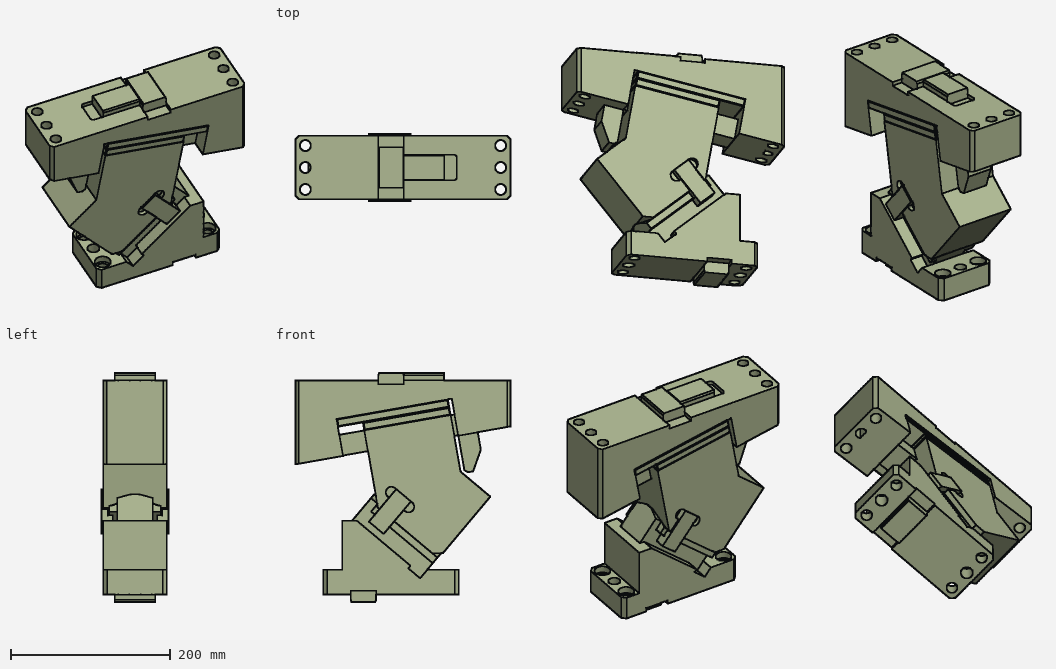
import cadquery as cq
import math

BODY_WIDTH = 80.0
HALF_WIDTH = BODY_WIDTH / 2
HANG_ANGLE = 10.0
GUIDE_ANGLE = 40.0

KEY_LENGTH = 51.0
KEY_WIDTH = 32.0
KEY_STANDOFF = 9.5
KEYWAY_DEPTH = 5.0
KEY_BEVEL_SIDE = 1.0
KEY_BEVEL_HEIGHT = 3.0

HOLE_INSET = 12.5
HOLE_SPACING = 27.5
HOLE_DIAMETER = 13.5

HOLDER_LENGTH = 269.5
HOLDER_CENTRE_X = 15.0
HOLDER_TOP = 268.2
HOLDER_CHAMFER = 4.5
HOLE_LEDGE_OFFSET = 3.7
LONG_KEY_END = 66.5
LONG_KEYWAY_END = 82.5
LONG_KEYWAY_RADIUS = 4.0

POCKET_LEFT = -29.0
POCKET_RIGHT = 117.4
POCKET_TOP = 228.4
HOLDER_UNDERSIDE = 181.3
PLATE_THICKNESS = 10.0
PLATE_CHAMFER = 1.0
BAR_WIDTH = 35.0
BAR_UNDERSIDE = 181.8
TONGUE_BACK = 142.4
TONGUE_KNEE = 159.2
TONGUE_TIP = 134.0
TONGUE_TIP_BACK = 128.1
TONGUE_TIP_FRONT = 121.4
TONGUE_TIP_CHAMFER = 3.5

SLIDE_LEFT = 2.7
SLIDE_RIGHT = 112.6
SLIDE_SHOULDER = 174.0
SLIDE_END = 16.5
SLIDE_LOWEST = 52.0

RAIL_START = -96.9
FLANGE_START = -85.9
RAIL_END = 14.8
RAIL_PEAK = 82.7
RAIL_FLAT = 11.0
ROOF_ANGLE = 20.0
STEM_WIDTH = 45.0
FLANGE_WIDTH = 65.0
FLANGE_EDGE = 9.2
CHANNEL_FLOOR = 43.4
RELIEF_FLOOR = 39.1
RELIEF_START = -4.6

CLIP_CENTRE = -67.9
CLIP_WIDTH = 24.0
CLIP_BOTTOM = 52.2
CLIP_PROUD = 2.0
CLIP_DEPTH = 6.0
CLIP_LIP_TOP = 62.8
CLIP_LIP_INNER = 28.0
CLIP_SLOT_SPAN = 28.0
CLIP_SLOT_RADIUS = 7.0
CLIP_SLOT_CENTRE = 98.4

FOOT_LENGTH = 170.0
FOOT_HEIGHT = 31.3
FOOT_CHAMFER = 5.0
BLOCK_LEFT = -61.2
BLOCK_TOP = 92.5
BASE_KEY_X = -34.6
COUNTERBORE_DIAMETER = 20.0
COUNTERBORE_DEPTH = 9.0
DOWEL_DIAMETER = 15.0

HOLDER_LEFT = HOLDER_CENTRE_X - HOLDER_LENGTH / 2
HOLDER_RIGHT = HOLDER_CENTRE_X + HOLDER_LENGTH / 2
PLATE_JOINT = POCKET_TOP - PLATE_THICKNESS
SLIDE_TOP = PLATE_JOINT - PLATE_THICKNESS
ROOF_SLOPE = math.tan(math.radians(ROOF_ANGLE))
FLANGE_TOP = RAIL_PEAK - ROOF_SLOPE * (FLANGE_WIDTH - RAIL_FLAT) / 2
FLANGE_BOTTOM = FLANGE_TOP - FLANGE_EDGE
STEM_EDGE = RAIL_PEAK - ROOF_SLOPE * (STEM_WIDTH - RAIL_FLAT) / 2
CLIP_TOP = CLIP_SLOT_CENTRE + CLIP_SLOT_RADIUS

HANG_SIN = math.sin(math.radians(HANG_ANGLE))
HANG_COS = math.cos(math.radians(HANG_ANGLE))
GUIDE_SIN = math.sin(math.radians(GUIDE_ANGLE))
GUIDE_COS = math.cos(math.radians(GUIDE_ANGLE))

LEVEL = cq.Plane(origin=(0, 0, 0), xDir=(1, 0, 0), normal=(0, -1, 0))
HANG = cq.Plane(origin=(0, 0, 0), xDir=(HANG_COS, 0, HANG_SIN), normal=(0, -1, 0))
GUIDE = cq.Plane(origin=(0, 0, 0), xDir=(GUIDE_COS, 0, -GUIDE_SIN), normal=(0, -1, 0))
RAIL_SECTION = cq.Plane(origin=(0, 0, 0), xDir=(0, 1, 0), normal=(GUIDE_COS, 0, -GUIDE_SIN))


def prism(plane, points, width):
    """Outline on an upright plane, thickened evenly about Y = 0."""
    return cq.Workplane(plane).polyline(points).close().extrude(width / 2, both=True)


def block(plane, left, right, bottom, top, width):
    """Rectangular block set square to the given upright plane."""
    corners = [(left, bottom), (right, bottom), (right, top), (left, top)]
    return prism(plane, corners, width)


def rail_piece(half_section, start, end):
    """Mirror a half section (y, v) about Y = 0 and run it along the rail."""
    mirrored = [(-y, v) for y, v in reversed(half_section) if y > 0]
    plane = cq.Workplane(RAIL_SECTION).workplane(offset=start)
    return plane.polyline(half_section + mirrored).close().extrude(end - start)


def guide_point(u, v):
    """X and Z of a point given along and square to the base rail."""
    return (u * GUIDE_COS + v * GUIDE_SIN, v * GUIDE_COS - u * GUIDE_SIN)


def hang_point(p, q):
    """X and Z of a point given along and square to the hanging track."""
    return (p * HANG_COS - q * HANG_SIN, p * HANG_SIN + q * HANG_COS)


def hang_line_at_rail_height(p, v):
    """X and Z where a line of constant p meets a line of constant v."""
    between = math.radians(HANG_ANGLE + GUIDE_ANGLE)
    return hang_point(p, (v - p * math.sin(between)) / math.cos(between))


def holder_underside_at(x):
    """Height of the sloping holder underside at a given X."""
    return (HOLDER_UNDERSIDE + x * HANG_SIN) / HANG_COS


def key_section(width, bottom, height):
    """Half width and height of a key whose exposed edges are bevelled."""
    half = width / 2
    return [
        (-half, bottom),
        (half, bottom),
        (half, height - KEY_BEVEL_HEIGHT),
        (half - KEY_BEVEL_SIDE, height),
        (KEY_BEVEL_SIDE - half, height),
        (-half, height - KEY_BEVEL_HEIGHT),
    ]


def cross_key(x, face, outward):
    """Key across the body, pointing up (outward = 1) or down (outward = -1)."""
    section = key_section(KEY_WIDTH, -KEYWAY_DEPTH, KEY_STANDOFF)
    return prism(LEVEL, [(x + a, face + outward * h) for a, h in section], KEY_LENGTH)


def cross_keyway(x, face):
    """Cutter for a keyway running the full width of a body."""
    half = KEY_WIDTH / 2
    return block(LEVEL, x - half, x + half, face - KEYWAY_DEPTH, face + KEYWAY_DEPTH, BODY_WIDTH)


def wear_plate(left, right, bottom):
    """Sliding plate with all its edges broken."""
    plate = block(HANG, left, right, bottom, bottom + PLATE_THICKNESS, BODY_WIDTH)
    return plate.edges().chamfer(PLATE_CHAMFER)


def holder_bar():
    """Central bar that crosses the pocket and carries the slide."""
    return block(HANG, POCKET_LEFT, POCKET_RIGHT, BAR_UNDERSIDE, SLIDE_TOP, BAR_WIDTH)


def holder_tongue():
    """Central stop that hangs below the holder behind the slide."""
    outline = [
        (POCKET_RIGHT, SLIDE_TOP),
        (TONGUE_BACK, SLIDE_TOP),
        (TONGUE_BACK, TONGUE_KNEE),
        (TONGUE_TIP_BACK, TONGUE_TIP),
        (TONGUE_TIP_FRONT, TONGUE_TIP),
        (POCKET_RIGHT, TONGUE_TIP + TONGUE_TIP_CHAMFER),
    ]
    return prism(HANG, outline, BAR_WIDTH)


def long_key():
    """Lengthwise key from the flank of the cross key toward +X."""
    section = key_section(KEY_WIDTH, HOLDER_TOP - KEYWAY_DEPTH, HOLDER_TOP + KEY_STANDOFF)
    start = KEY_WIDTH / 2
    return cq.Workplane("YZ", origin=(start, 0, 0)).polyline(section).close().extrude(LONG_KEY_END - start)


def long_keyway():
    """Cutter for the round-cornered lengthwise keyway."""
    slot = cq.Workplane("XY", origin=(0, 0, HOLDER_TOP - KEYWAY_DEPTH))
    slot = slot.rect(2 * LONG_KEYWAY_END, KEY_WIDTH).extrude(KEYWAY_DEPTH)
    slot = slot.edges("|Z").fillet(LONG_KEYWAY_RADIUS)
    return slot.intersect(block(LEVEL, 0, HOLDER_RIGHT, 0, HOLDER_TOP, BODY_WIDTH))


def holder_holes():
    """Cutter for the six vertical mounting holes; the middle one at -X has a flat low down."""
    left_x = HOLDER_LEFT + HOLE_INSET
    right_x = HOLDER_RIGHT - HOLE_INSET
    points = [(x, y) for x in (left_x, right_x) for y in (-HOLE_SPACING, 0, HOLE_SPACING)]
    holes = cq.Workplane("XY").pushPoints(points).circle(HOLE_DIAMETER / 2).extrude(HOLDER_TOP)
    flat_x = left_x + HOLE_LEDGE_OFFSET
    ledge_top = (HOLDER_TOP + holder_underside_at(left_x)) / 2
    return holes.cut(block(LEVEL, flat_x, left_x + HOLE_DIAMETER, 0, ledge_top, HOLE_DIAMETER))


def make_holder():
    outline = [
        (HOLDER_LEFT, HOLDER_TOP),
        (HOLDER_RIGHT, HOLDER_TOP),
        (HOLDER_RIGHT, holder_underside_at(HOLDER_RIGHT)),
        (HOLDER_LEFT, holder_underside_at(HOLDER_LEFT)),
    ]
    holder = prism(LEVEL, outline, BODY_WIDTH).edges("|Z").chamfer(HOLDER_CHAMFER)
    holder = holder.cut(block(HANG, POCKET_LEFT, POCKET_RIGHT, 0, POCKET_TOP, BODY_WIDTH))
    holder = holder.union(wear_plate(POCKET_LEFT, SLIDE_RIGHT, PLATE_JOINT))
    holder = holder.union(holder_bar()).union(holder_tongue())
    holder = holder.cut(holder_holes())
    holder = holder.cut(cross_keyway(0, HOLDER_TOP)).cut(long_keyway())
    return holder.union(cross_key(0, HOLDER_TOP, 1)).union(long_key())


def retaining_clip(side):
    """L-shaped clip on one side; its lip reaches under the rail flange."""
    outer = HALF_WIDTH + CLIP_PROUD
    section = [
        (side * outer, CLIP_BOTTOM),
        (side * outer, CLIP_TOP),
        (side * (HALF_WIDTH - CLIP_DEPTH), CLIP_TOP),
        (side * (HALF_WIDTH - CLIP_DEPTH), CLIP_LIP_TOP),
        (side * CLIP_LIP_INNER, CLIP_LIP_TOP),
        (side * CLIP_LIP_INNER, CLIP_BOTTOM),
    ]
    plane = cq.Workplane(RAIL_SECTION).workplane(offset=CLIP_CENTRE - CLIP_WIDTH / 2)
    return plane.polyline(section).close().extrude(CLIP_WIDTH)


def clip_recesses():
    """Cutter for the round-ended recess on each side of the slide."""
    slot = cq.Workplane(GUIDE).center(CLIP_CENTRE, CLIP_SLOT_CENTRE)
    slot = slot.slot2D(CLIP_SLOT_SPAN + 2 * CLIP_SLOT_RADIUS, 2 * CLIP_SLOT_RADIUS)
    slot = slot.extrude(HALF_WIDTH, both=True)
    core = BODY_WIDTH - 2 * CLIP_DEPTH
    return slot.cut(cq.Workplane("XY").box(2 * HOLDER_LENGTH, core, 2 * HOLDER_LENGTH))


def make_slide():
    outline = [
        hang_point(SLIDE_LEFT, SLIDE_TOP),
        hang_point(SLIDE_RIGHT, SLIDE_TOP),
        hang_line_at_rail_height(SLIDE_RIGHT, SLIDE_SHOULDER),
        guide_point(SLIDE_END, SLIDE_SHOULDER),
        guide_point(SLIDE_END, FLANGE_TOP),
        hang_line_at_rail_height(SLIDE_LEFT, FLANGE_TOP),
    ]
    slide = prism(LEVEL, outline, BODY_WIDTH)
    slide = slide.cut(block(LEVEL, BLOCK_LEFT, HOLDER_RIGHT, 0, SLIDE_LOWEST, BODY_WIDTH))
    rail_roof = roof_section(FLANGE_WIDTH, FLANGE_TOP, FLANGE_BOTTOM)
    slide = slide.cut(rail_piece(rail_roof, RAIL_START, SLIDE_END))
    slide = slide.cut(holder_bar())
    slide = slide.union(wear_plate(SLIDE_LEFT, SLIDE_RIGHT, SLIDE_TOP))
    slide = slide.cut(clip_recesses())
    for side in (-1, 1):
        slide = slide.union(retaining_clip(side))
    return slide


def roof_section(width, edge, bottom):
    """Half section (y, v) under the rail roof, out to the given width."""
    return [(0, bottom), (width / 2, bottom), (width / 2, edge), (RAIL_FLAT / 2, RAIL_PEAK)]


def foot_holes():
    """Cutter for counterbored corner holes with a dowel hole between each pair."""
    xs = [side * (FOOT_LENGTH / 2 - HOLE_INSET) for side in (-1, 1)]
    corners = [(x, y) for x in xs for y in (-HOLE_SPACING, HOLE_SPACING)]
    screws = cq.Workplane("XY").pushPoints(corners).circle(HOLE_DIAMETER / 2).extrude(FOOT_HEIGHT)
    seats = cq.Workplane("XY", origin=(0, 0, FOOT_HEIGHT - COUNTERBORE_DEPTH)).pushPoints(corners)
    seats = seats.circle(COUNTERBORE_DIAMETER / 2).extrude(COUNTERBORE_DEPTH)
    dowels = cq.Workplane("XY").pushPoints([(x, 0) for x in xs])
    dowels = dowels.circle(DOWEL_DIAMETER / 2).extrude(FOOT_HEIGHT)
    return screws.union(seats).union(dowels)


def make_base():
    half_foot = FOOT_LENGTH / 2
    foot = block(LEVEL, -half_foot, half_foot, 0, FOOT_HEIGHT, BODY_WIDTH)
    foot = foot.edges("|Z").chamfer(FOOT_CHAMFER).cut(foot_holes())

    channel_x = (CHANNEL_FLOOR - BLOCK_TOP * GUIDE_COS) / GUIDE_SIN
    end_x, end_z = guide_point(RAIL_END, CHANNEL_FLOOR)
    wedge = [
        (BLOCK_LEFT, 0),
        (BLOCK_LEFT, BLOCK_TOP),
        (channel_x, BLOCK_TOP),
        (end_x, end_z),
        (end_x, 0),
    ]
    base = foot.union(prism(LEVEL, wedge, BODY_WIDTH))
    base = base.cut(block(GUIDE, RELIEF_START, RAIL_END, RELIEF_FLOOR, RAIL_PEAK, BODY_WIDTH))

    stem = rail_piece(roof_section(STEM_WIDTH, STEM_EDGE, RELIEF_FLOOR), RAIL_START, RAIL_END)
    flange = rail_piece(roof_section(FLANGE_WIDTH, FLANGE_TOP, FLANGE_BOTTOM), FLANGE_START, RAIL_END)
    base = base.union(stem).union(flange)
    return base.cut(cross_keyway(BASE_KEY_X, 0)).union(cross_key(BASE_KEY_X, 0, -1))


holder = make_holder()
slide = make_slide()
base = make_base()

result = cq.Compound.makeCompound([body.solids().val() for body in (holder, slide, base)])